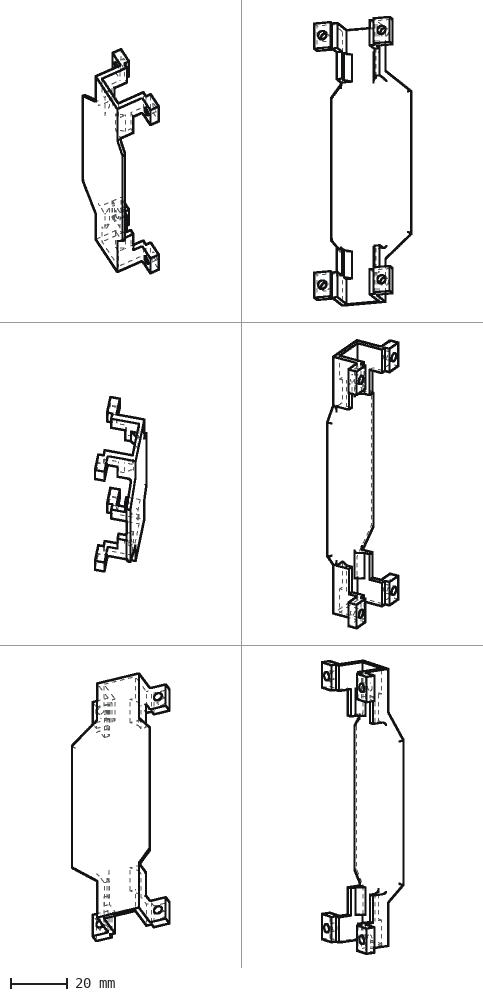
import cadquery as cq

length = 100.0
depth = 13.4

channel_width = 16.0
wall = 2.0
base = 1.5
channel_length = 19.0
low_wall_height = 6.5
wall_top = 11.5

ear_span = 28.0
ear_thickness = 3.4
ear_length = 9.15
hole_end_distance = 4.5
ear_corner_fillet = 0.5
hole_diameter = 3.0

plate_left = -17.59
plate_right = 12.0
plate_half_length = 26.0
left_flare_start = 34.3
edge_fillet = 1.2
root_fillet = 1.0

gusset_width = 2.0
gusset_height = 2.9

half_length = length / 2
half_channel = channel_width / 2
half_cavity = half_channel - wall
half_ear_span = ear_span / 2
wall_end = half_length - channel_length
ear_end = half_length - ear_length
ear_front = depth - ear_thickness


def make_plate():
    """Flat plate with flared sides and rounded back edges along the flares."""
    outline = [
        (-half_channel, half_length),
        (half_channel, half_length),
        (half_channel, wall_end),
        (plate_right, plate_half_length),
        (plate_right, -plate_half_length),
        (half_channel, -wall_end),
        (half_channel, -half_length),
        (-half_channel, -half_length),
        (-half_channel, -left_flare_start),
        (plate_left, -plate_half_length),
        (plate_left, plate_half_length),
        (-half_channel, left_flare_start),
    ]
    plate = cq.Workplane("XZ").polyline(outline).close().extrude(-base)
    flared_edges = plate.faces(">Y").edges(
        cq.selectors.BoxSelector(
            (plate_left - base, 0, -left_flare_start),
            (plate_right + base, depth, left_flare_start),
        )
    )
    return flared_edges.fillet(edge_fillet)


def make_wall(side):
    """Stepped side wall at the top end; side is -1 (left) or +1 (right)."""
    profile = [
        (0, wall_end),
        (low_wall_height, wall_end),
        (low_wall_height, ear_end),
        (wall_top, ear_end),
        (wall_top, half_length),
        (0, half_length),
    ]
    inner_face = half_cavity if side > 0 else -half_channel
    return cq.Workplane("YZ").polyline(profile).close().extrude(wall).translate((inner_face, 0, 0))


def make_ear(side):
    """Mounting ear with a rounded inner corner and a through hole."""
    corner_x = half_channel + ear_corner_fillet
    corner_y = ear_front - ear_corner_fillet
    ear = (
        cq.Workplane("XY", origin=(0, 0, ear_end))
        .moveTo(half_channel, depth)
        .lineTo(half_ear_span, depth)
        .lineTo(half_ear_span, ear_front)
        .lineTo(corner_x, ear_front)
        .radiusArc((half_channel, corner_y), -ear_corner_fillet)
        .close()
        .extrude(ear_length)
    )
    hole_x = (half_channel + half_ear_span) / 2
    hole_z = half_length - hole_end_distance
    hole = cq.Workplane("XZ").center(hole_x, hole_z).circle(hole_diameter / 2).extrude(-depth)
    ear = ear.cut(hole)
    return ear if side > 0 else ear.mirror("YZ")


def make_gusset(side):
    """Triangular gusset along the low part of the wall, in the inner corner."""
    triangle = [
        (side * half_cavity, base),
        (side * (half_cavity - gusset_width), base),
        (side * half_cavity, base + gusset_height),
    ]
    gusset_base = cq.Workplane("XY", origin=(0, 0, wall_end))
    return gusset_base.polyline(triangle).close().extrude(ear_end - wall_end)


def make_end():
    """Walls, ears and gussets of the top end."""
    end = make_wall(-1).union(make_wall(1))
    for side in (-1, 1):
        end = end.union(make_ear(side)).union(make_gusset(side))
    return end


def round_root(body, end):
    """Fillet where the left wall's outer face and lower face meet the plate; end is -1 or +1."""
    margin = edge_fillet / 2
    z_limits = sorted((end * (wall_end - margin), end * (left_flare_start - margin)))
    root_edges = body.edges(
        cq.selectors.BoxSelector(
            (-half_channel - margin, edge_fillet / 2, z_limits[0]),
            (-half_cavity + margin, base + margin, z_limits[1]),
        )
    )
    return root_edges.fillet(root_fillet)


top_end = make_end()
body = make_plate().union(top_end).union(top_end.mirror("XY"))
for end in (-1, 1):
    body = round_root(body, end)
result = body